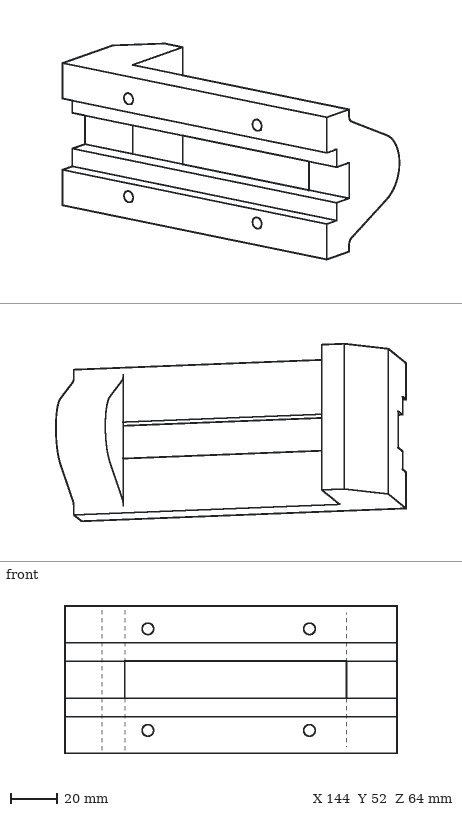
import cadquery as cq
import math

length = 144.0
depth = 52.0
height = 64.0

base_thickness = 16.0
arm_width = 26.0
arm_chamfer = 16.0
jaw_width = 22.0

nose_radius = 16.0
flank_angle = 25.0
root_radius = 3.0

outer_groove_height = 32.0
outer_groove_depth = 7.0
inner_groove_height = 16.0
inner_groove_depth = base_thickness

hole_diameter = 5.0
hole_depth = 10.0
drill_point_angle = 118.0
hole_start = 36.0
hole_spacing = 70.0
hole_edge_distance = 10.0

mid_height = height / 2


def make_frame():
    """L-shaped body: the base bar and the arm with its chamfered back corner."""
    return (
        cq.Workplane("XY")
        .moveTo(0, 0)
        .lineTo(length, 0)
        .lineTo(length, base_thickness)
        .lineTo(arm_width, base_thickness)
        .lineTo(arm_width, depth)
        .lineTo(arm_chamfer, depth)
        .lineTo(0, depth - arm_chamfer)
        .close()
        .extrude(height)
    )


def make_jaw():
    """Tapering jaw, drawn in the YZ plane and extruded across its width."""
    angle = math.radians(flank_angle)
    half_angle = (angle + math.pi / 2) / 2
    nose_y = depth - nose_radius
    tangent_y = nose_y + nose_radius * math.sin(angle)
    tangent_rise = nose_radius * math.cos(angle)

    root_y = base_thickness + root_radius
    flank_start_y = root_y - root_radius * math.sin(angle)
    flank_start_rise = tangent_rise + (tangent_y - flank_start_y) * math.tan(angle)
    root_rise = flank_start_rise + root_radius * math.cos(angle)
    root_mid_y = root_y - root_radius * math.sin(half_angle)
    root_mid_rise = root_rise - root_radius * math.cos(half_angle)

    return (
        cq.Workplane("YZ", origin=(length - jaw_width, 0, mid_height))
        .moveTo(base_thickness, -root_rise)
        .threePointArc((root_mid_y, -root_mid_rise), (flank_start_y, -flank_start_rise))
        .lineTo(tangent_y, -tangent_rise)
        .threePointArc((depth, 0), (tangent_y, tangent_rise))
        .lineTo(flank_start_y, flank_start_rise)
        .threePointArc((root_mid_y, root_mid_rise), (base_thickness, root_rise))
        .close()
        .extrude(jaw_width)
    )


def make_groove_step(step_height, step_depth):
    """Full-length slot cut from the front face, centred on the height."""
    return cq.Workplane("XY", origin=(0, 0, mid_height)).box(
        length, step_depth, step_height, centered=(False, False, True)
    )


def make_hole(x, z):
    """Drilled hole along +Y with a conical bottom."""
    radius = hole_diameter / 2
    point_length = radius / math.tan(math.radians(drill_point_angle / 2))
    return (
        cq.Workplane("XY", origin=(x, 0, z))
        .moveTo(0, 0)
        .lineTo(radius, 0)
        .lineTo(radius, hole_depth)
        .lineTo(0, hole_depth + point_length)
        .close()
        .revolve(360, (0, 0, 0), (0, 1, 0))
    )


result = make_frame().union(make_jaw())
result = result.cut(make_groove_step(outer_groove_height, outer_groove_depth))
result = result.cut(make_groove_step(inner_groove_height, inner_groove_depth))
for hole_x in (hole_start, hole_start + hole_spacing):
    for hole_z in (hole_edge_distance, height - hole_edge_distance):
        result = result.cut(make_hole(hole_x, hole_z))